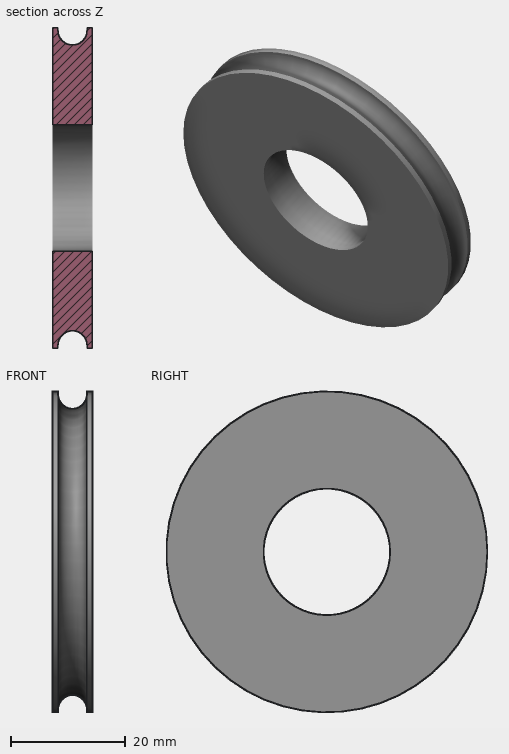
import cadquery as cq

outer_diameter = 56.0
width = 7.0
bore_diameter = 22.0

groove_width = 5.0
groove_depth = 3.0

outer_radius = outer_diameter / 2
bore_radius = bore_diameter / 2
groove_radius = groove_width / 2
groove_bottom = outer_radius - groove_depth
groove_center = groove_bottom + groove_radius

section = (
    cq.Workplane("XY")
    .moveTo(-width / 2, bore_radius)
    .lineTo(-width / 2, outer_radius)
    .lineTo(-groove_radius, outer_radius)
    .lineTo(-groove_radius, groove_center)
    .threePointArc((0, groove_bottom), (groove_radius, groove_center))
    .lineTo(groove_radius, outer_radius)
    .lineTo(width / 2, outer_radius)
    .lineTo(width / 2, bore_radius)
    .close()
)

result = section.revolve(360, (0, 0, 0), (1, 0, 0))